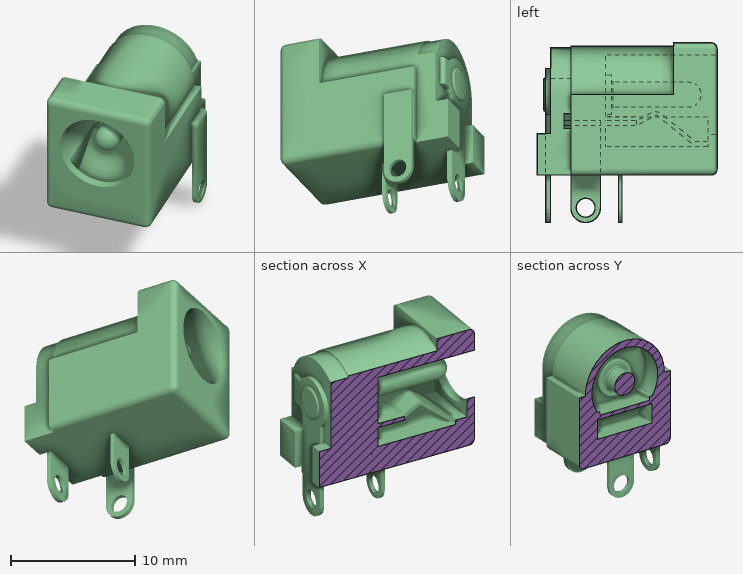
import cadquery as cq
import math


HOUSING_WIDTH = 9.0
HOUSING_HEIGHT = 10.68
HOUSING_LENGTH = 11.8
EDGE_RADIUS = 0.52
FRONT_BLOCK_LENGTH = 3.52
AXIS_Z = 6.49
BARREL_RADIUS = 3.9

BORE_DIAMETER = 6.4
BORE_DEPTH = 9.0
POCKET_FRONT_Y = 0.75
POCKET_HALF_WIDTH = 2.65
POCKET_FLOOR_Z = 2.3
POCKET_TOP_Z = 4.85

INSERT_RADIUS = 3.78
INSERT_BACK_Y = 13.42
INSERT_RIGHT_X = 3.84
SHOULDER_INNER_X = 3.55
FOOT_BACK_Y = 14.5
FOOT_HEIGHT = 3.35
NOTCH_DEPTH_Y = 0.53
NOTCH_BOTTOM_Z = 3.77
NOTCH_TOP_Z = 4.97
NOTCH_DEPTH_X = 1.2
NOTCH_CORNER_RADIUS = 0.2
NOTCH_STRIP_PROJECTION = 0.25

PIN_DIAMETER = 2.0
PIN_TIP_Y = 1.3
COLLAR_DIAMETER = 3.2
COLLAR_HEIGHT = 0.5
PIN_EDGE_RADIUS = 0.1

LUG_DROP = 3.82
LUG_HOLE_DIAMETER = 1.5
LUG_ROOT = 1.0

REAR_LUG_WIDTH = 2.8
REAR_LUG_THICKNESS = 0.4
REAR_LUG_HOLE_RISE = 0.08
REAR_DISC_RADIUS = 2.12
REAR_ARM_X = 2.94
REAR_ARM_EDGE_X = 1.77
REAR_ARM_BEND_RADIUS = 0.35
RIVET_DIAMETER = 2.7
RIVET_HEIGHT = 0.17
RIVET_EDGE_RADIUS = 0.16

FRONT_LUG_WIDTH = 2.42
FRONT_LUG_THICKNESS = 0.31
FRONT_LUG_Y = 7.66

SIDE_LUG_WIDTH = 2.4
SIDE_LUG_OUTER_X = 5.0
SIDE_LUG_BEND_RADIUS = 0.39
SHEET_THICKNESS = 0.4
SHEET_TOP_Z = 4.39
EAR_TOP_Z = 4.72
EAR_INNER_X = 2.4
SPRING_FOOT_Y = 1.75
SPRING_FOOT_Z = 2.7
SPRING_CREST_Y = 4.9
SPRING_CREST_Z = 5.25
SPRING_TAIL_Y = 6.5
SPRING_FOOT_HALF_WIDTH = 2.39
SPRING_CREST_HALF_WIDTH = 2.18
SPRING_CREST_RADIUS = 0.7


def box(x_range, y_range, z_range):
    """Axis-aligned block given by its limits."""
    size = [high - low for low, high in (x_range, y_range, z_range)]
    corner = (x_range[0], y_range[0], z_range[0])
    return cq.Workplane("XY").box(*size, centered=False).translate(corner)


def cylinder_y(radius, y_start, y_end):
    """Cylinder on the socket axis."""
    plane = cq.Workplane("XZ", origin=(0, y_start, AXIS_Z))
    return plane.circle(radius).extrude(y_start - y_end)


def lug(width, thickness, top_z, hole_rise=0):
    """Lug from Y = 0 to +Y with a round end and a solder hole `hole_rise` above the end's centre."""
    radius = width / 2
    centre_z = radius - LUG_DROP
    return (
        cq.Workplane("XZ")
        .moveTo(-radius, top_z)
        .lineTo(-radius, centre_z)
        .threePointArc((0, -LUG_DROP), (radius, centre_z))
        .lineTo(radius, top_z)
        .close()
        .moveTo(0, centre_z + hole_rise)
        .circle(LUG_HOLE_DIAMETER / 2)
        .extrude(-thickness)
    )


def make_housing():
    half = HOUSING_WIDTH / 2
    body = box((-half, half), (0, HOUSING_LENGTH), (0, HOUSING_HEIGHT))
    body = body.edges("|Y or <Y").fillet(EDGE_RADIUS)
    body = body.cut(box((-half, half), (FRONT_BLOCK_LENGTH, HOUSING_LENGTH), (AXIS_Z, HOUSING_HEIGHT)))
    body = body.union(cylinder_y(BARREL_RADIUS, FRONT_BLOCK_LENGTH, HOUSING_LENGTH))
    body = body.cut(cylinder_y(BORE_DIAMETER / 2, 0, BORE_DEPTH))
    pocket = box(
        (-POCKET_HALF_WIDTH, POCKET_HALF_WIDTH),
        (POCKET_FRONT_Y, BORE_DEPTH),
        (POCKET_FLOOR_Z, POCKET_TOP_Z),
    )
    return body.cut(pocket)


def make_rear_insert():
    y_range = (HOUSING_LENGTH, INSERT_BACK_Y)
    shoulder_z = AXIS_Z + math.sqrt(INSERT_RADIUS**2 - SHOULDER_INNER_X**2)
    insert = cylinder_y(INSERT_RADIUS, *y_range)
    insert = insert.union(box((-INSERT_RADIUS, INSERT_RADIUS), y_range, (0, AXIS_Z)))
    insert = insert.union(box((0, INSERT_RIGHT_X), y_range, (0, shoulder_z)))
    half_gap = REAR_LUG_WIDTH / 2
    for x_range in ((-INSERT_RADIUS, -half_gap), (half_gap, INSERT_RIGHT_X)):
        insert = insert.union(box(x_range, (INSERT_BACK_Y, FOOT_BACK_Y), (0, FOOT_HEIGHT)))
    notch = box(
        (-INSERT_RADIUS, NOTCH_DEPTH_X - INSERT_RADIUS),
        (HOUSING_LENGTH, HOUSING_LENGTH + NOTCH_DEPTH_Y),
        (NOTCH_BOTTOM_Z, NOTCH_TOP_Z),
    )
    return insert.cut(notch.edges("|Y and >X").fillet(NOTCH_CORNER_RADIUS))


def make_pin():
    radius = PIN_DIAMETER / 2
    pin = cylinder_y(radius, PIN_TIP_Y + radius, BORE_DEPTH)
    tip = cq.Workplane("XZ").sphere(radius).translate((0, PIN_TIP_Y + radius, AXIS_Z))
    pin = pin.union(tip)
    collar_y = BORE_DEPTH - COLLAR_HEIGHT
    collar = cylinder_y(COLLAR_DIAMETER / 2, collar_y, BORE_DEPTH).faces("<Y").edges().fillet(PIN_EDGE_RADIUS)
    root_outline = (
        cq.Workplane("XY")
        .moveTo(radius, collar_y)
        .lineTo(radius + PIN_EDGE_RADIUS, collar_y)
        .radiusArc((radius, collar_y - PIN_EDGE_RADIUS), PIN_EDGE_RADIUS)
        .close()
    )
    root = root_outline.revolve(360, (0, 0, 0), (0, 1, 0)).translate((0, 0, AXIS_Z))
    return pin.union(collar).union(root)


def make_rear_terminal():
    back_y = INSERT_BACK_Y + REAR_LUG_THICKNESS
    terminal = lug(REAR_LUG_WIDTH, REAR_LUG_THICKNESS, AXIS_Z, REAR_LUG_HOLE_RISE)
    terminal = terminal.translate((0, INSERT_BACK_Y, 0))
    terminal = terminal.union(cylinder_y(REAR_DISC_RADIUS, INSERT_BACK_Y, back_y))
    half_arm = math.sqrt(REAR_DISC_RADIUS**2 - REAR_ARM_EDGE_X**2)
    arm = box((0, REAR_ARM_X), (INSERT_BACK_Y, back_y), (AXIS_Z - half_arm, AXIS_Z + half_arm))
    arm = arm.edges("|Z and >X and >Y").fillet(REAR_ARM_BEND_RADIUS)
    rivet = cylinder_y(RIVET_DIAMETER / 2, back_y, back_y + RIVET_HEIGHT)
    rivet = rivet.faces(">Y").edges().fillet(RIVET_EDGE_RADIUS)
    return terminal.union(arm).union(rivet)


def make_front_lug():
    return lug(FRONT_LUG_WIDTH, FRONT_LUG_THICKNESS, LUG_ROOT).translate((0, FRONT_LUG_Y, 0))


def make_spring():
    """Bent strip: a flat foot at the pocket front, a ramp to the crest and a fall to the tail."""
    top = [
        (POCKET_FRONT_Y, SPRING_FOOT_Z),
        (SPRING_FOOT_Y, SPRING_FOOT_Z),
        (SPRING_CREST_Y, SPRING_CREST_Z),
        (SPRING_TAIL_Y, SHEET_TOP_Z),
    ]
    bottom = [(y, z - SHEET_THICKNESS) for y, z in reversed(top)]
    profile = top + bottom
    strip = cq.Workplane("YZ").polyline(profile).close().extrude(SPRING_FOOT_HALF_WIDTH, both=True)
    crest = cq.selectors.NearestToPointSelector((0, SPRING_CREST_Y, SPRING_CREST_Z))
    strip = strip.edges(crest).fillet(SPRING_CREST_RADIUS)
    plan = [
        (-SPRING_FOOT_HALF_WIDTH, SPRING_FOOT_Y),
        (-SPRING_FOOT_HALF_WIDTH, POCKET_FRONT_Y),
        (SPRING_FOOT_HALF_WIDTH, POCKET_FRONT_Y),
        (SPRING_FOOT_HALF_WIDTH, SPRING_FOOT_Y),
        (SPRING_CREST_HALF_WIDTH, SPRING_CREST_Y),
        (SPRING_CREST_HALF_WIDTH, SPRING_TAIL_Y),
        (-SPRING_CREST_HALF_WIDTH, SPRING_TAIL_Y),
        (-SPRING_CREST_HALF_WIDTH, SPRING_CREST_Y),
    ]
    return strip.intersect(cq.Workplane("XY").polyline(plan).close().extrude(HOUSING_HEIGHT))


def make_tail():
    """Flat end of the contact in the pocket, with an upturned ear along each side."""
    y_range = (SPRING_TAIL_Y, BORE_DEPTH)
    bottom_z = SHEET_TOP_Z - SHEET_THICKNESS
    tail = box((-POCKET_HALF_WIDTH, POCKET_HALF_WIDTH), y_range, (bottom_z, SHEET_TOP_Z))
    for x_range in ((-POCKET_HALF_WIDTH, -EAR_INNER_X), (EAR_INNER_X, POCKET_HALF_WIDTH)):
        tail = tail.union(box(x_range, y_range, (bottom_z, EAR_TOP_Z)))
    strip = box(
        (NOTCH_DEPTH_X - INSERT_RADIUS - NOTCH_STRIP_PROJECTION, 0),
        (HOUSING_LENGTH, HOUSING_LENGTH + NOTCH_DEPTH_Y),
        (bottom_z, SHEET_TOP_Z),
    )
    return tail.union(strip)


def make_side_lug():
    """Lug standing clear of the +X wall, bent down from a strip that comes out of the wall."""
    inner_x = SIDE_LUG_OUTER_X - SHEET_THICKNESS
    bend_z = SHEET_TOP_Z - SHEET_THICKNESS
    y_range = (HOUSING_LENGTH - SIDE_LUG_WIDTH, HOUSING_LENGTH)
    blade = lug(SIDE_LUG_WIDTH, SHEET_THICKNESS, bend_z).rotate((0, 0, 0), (0, 0, 1), -90)
    blade = blade.translate((inner_x, HOUSING_LENGTH - SIDE_LUG_WIDTH / 2, 0))
    root_x = HOUSING_WIDTH / 2 - LUG_ROOT
    strip = box((root_x, SIDE_LUG_OUTER_X), y_range, (bend_z, SHEET_TOP_Z))
    strip = strip.edges("|Y and >X and >Z").fillet(SIDE_LUG_BEND_RADIUS)
    return blade.union(strip)


result = make_housing()
for piece in (
    make_rear_insert(),
    make_pin(),
    make_rear_terminal(),
    make_front_lug(),
    make_spring(),
    make_tail(),
    make_side_lug(),
):
    result = result.union(piece)